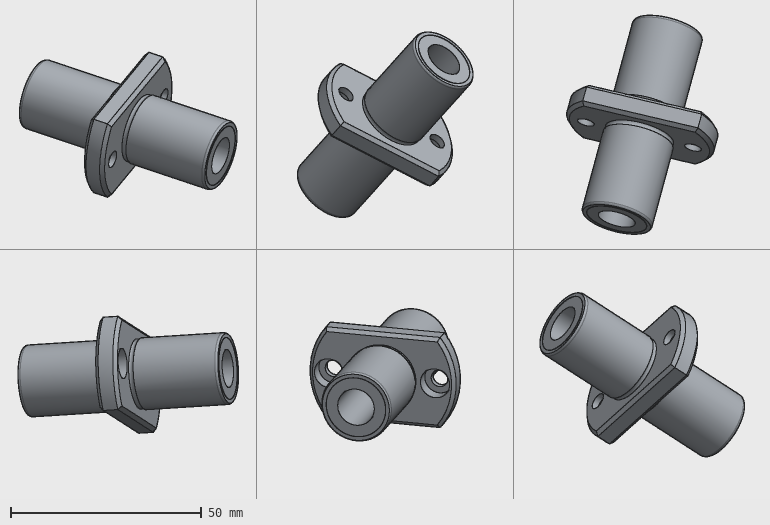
import cadquery as cq

length = 55.0
body_dia = 19.0
bore_dia = 10.0

end_round_length = 0.7
end_round_depth = 0.35

flange_dia = 40.0
flange_height = 25.0
flange_thickness = 6.0
flange_chamfer = 1.0

neck_width = 1.3
neck_depth = 0.35
neck_depth_at_flange = 0.2

bolt_spacing = 29.0
bolt_hole_dia = 4.5
counterbore_dia = 8.0
counterbore_depth = 4.1

seal_dia = 16.3
seal_recess = 0.1


def disc_x(diameter, start, thickness):
    """Cylinder on the X axis, from x = start towards +X."""
    plane = cq.Workplane("YZ", origin=(start, 0, 0))
    return plane.circle(diameter / 2).extrude(thickness)


def make_half_body():
    """Revolved +X half of the sleeve: hollow neck, plain barrel and rounded end."""
    radius = body_dia / 2
    end = length / 2
    flange_face = flange_thickness / 2
    neck_middle = (flange_face + neck_width / 2, radius - neck_depth)
    return (
        cq.Workplane("XY")
        .lineTo(0, radius - neck_depth_at_flange)
        .lineTo(flange_face, radius - neck_depth_at_flange)
        .threePointArc(neck_middle, (flange_face + neck_width, radius))
        .lineTo(end - end_round_length, radius)
        .tangentArcPoint((end, radius - end_round_depth), relative=False)
        .lineTo(end, 0)
        .close()
        .revolve(360, (0, 0, 0), (1, 0, 0))
    )


def make_flange():
    """Round plate with two flats, chamfered all round on both faces."""
    plate = disc_x(flange_dia, -flange_thickness / 2, flange_thickness)
    flats = cq.Workplane("XY").box(flange_thickness, flange_dia, flange_height)
    return plate.intersect(flats).faces("<X or >X").chamfer(flange_chamfer)


def cut_bolt_holes(part):
    """Through holes counterbored from the -X face of the flange."""
    face = cq.Workplane("YZ", origin=(-flange_thickness / 2, 0, 0))
    centres = [(-bolt_spacing / 2, 0), (bolt_spacing / 2, 0)]
    holes = face.pushPoints(centres).circle(bolt_hole_dia / 2).extrude(flange_thickness)
    counterbores = face.pushPoints(centres).circle(counterbore_dia / 2).extrude(counterbore_depth)
    return part.cut(holes).cut(counterbores)


def cut_seal_recesses(part):
    """Shallow round recess in each end face."""
    for start in (-length / 2, length / 2 - seal_recess):
        part = part.cut(disc_x(seal_dia, start, seal_recess))
    return part


half_body = make_half_body()
result = half_body.union(half_body.mirror("YZ")).union(make_flange())
result = cut_bolt_holes(result)
result = cut_seal_recesses(result)
result = result.cut(disc_x(bore_dia, -length / 2, length))